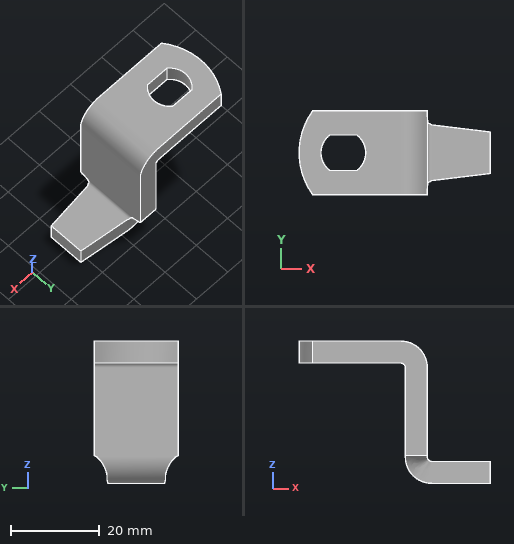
import cadquery as cq
import math

length = 43.2
width = 19.0
height = 32.15
thickness = 5.0
inner_radius = 1.0
outer_radius = inner_radius + thickness
half_width = width / 2

nose_depth = 3.1
hole_x = 10.02
hole_diameter = 10.02
hole_flats = 7.95

web_outer_x = 29.0
web_inner_x = web_outer_x - thickness
foot_start_x = web_outer_x + inner_radius
foot_start_half_width = 6.3
foot_end_half_width = 4.7

blend_radius = 5.0
blend_end_angle = math.radians(60)
developed_radius = 4.65
blend_end = developed_radius * blend_end_angle
bend_end = developed_radius * math.pi / 2
taper_slope = (foot_start_half_width - foot_end_half_width) / (length - foot_start_x)
taper_angle = math.atan(taper_slope)
blend_end_half_width = foot_start_half_width + taper_slope * (bend_end - blend_end)
blend_center_along = blend_end - blend_radius * math.sin(taper_angle)
blend_center_y = blend_end_half_width + blend_radius * math.cos(taper_angle)

clearance = 0.45
cutter_y = half_width + clearance
curve_steps = 12


def bent_strip():
    """Full-width Z-shaped strip with two concentric-radius bends."""
    diagonal = math.sqrt(0.5)
    upper_center_x = web_outer_x - outer_radius
    upper_center_z = height - outer_radius
    foot_center_z = outer_radius
    return (
        cq.Workplane("XZ")
        .moveTo(0, height)
        .lineTo(upper_center_x, height)
        .threePointArc(
            (upper_center_x + outer_radius * diagonal, upper_center_z + outer_radius * diagonal),
            (web_outer_x, upper_center_z),
        )
        .lineTo(web_outer_x, foot_center_z)
        .threePointArc(
            (foot_start_x - inner_radius * diagonal, foot_center_z - inner_radius * diagonal),
            (foot_start_x, thickness),
        )
        .lineTo(length, thickness)
        .lineTo(length, 0)
        .lineTo(foot_start_x, 0)
        .threePointArc(
            (foot_start_x - outer_radius * diagonal, foot_center_z - outer_radius * diagonal),
            (web_inner_x, foot_center_z),
        )
        .lineTo(web_inner_x, upper_center_z)
        .threePointArc(
            (upper_center_x + inner_radius * diagonal, upper_center_z + inner_radius * diagonal),
            (upper_center_x, height - thickness),
        )
        .lineTo(0, height - thickness)
        .close()
        .extrude(half_width, both=True)
    )


def outline_and_foot_limit():
    """Plan shape with the rounded nose, full width up to the foot and tapered beyond it."""
    return (
        cq.Workplane("XY")
        .moveTo(nose_depth, half_width)
        .threePointArc((0, 0), (nose_depth, -half_width))
        .lineTo(foot_start_x, -half_width)
        .lineTo(foot_start_x, -foot_start_half_width)
        .lineTo(length, -foot_end_half_width)
        .lineTo(length, foot_end_half_width)
        .lineTo(foot_start_x, foot_start_half_width)
        .lineTo(foot_start_x, half_width)
        .close()
        .extrude(height)
    )


def double_d_hole():
    """Round hole with two flats parallel to X, through the upper plate."""
    plate = cq.Workplane("XY", origin=(hole_x, 0, height - thickness))
    round_hole = plate.circle(hole_diameter / 2).extrude(thickness)
    return round_hole.intersect(plate.rect(hole_diameter, hole_flats).extrude(thickness))


def half_width_at(angle):
    """Half width of the lower bend, measured from 0 at the web to a right angle at the foot."""
    along = developed_radius * angle
    if angle < blend_end_angle:
        offset = along - blend_center_along
        return blend_center_y - math.sqrt(blend_radius**2 - offset**2)
    return foot_start_half_width + taper_slope * (bend_end - along)


def bend_curve(radius, start, end, y_at):
    """Curve around the lower bend at one radius, with its Y given by the bend angle."""
    angles = [start + (end - start) * i / curve_steps for i in range(curve_steps + 1)]
    points = [
        cq.Vector(
            foot_start_x - radius * math.cos(angle),
            y_at(angle),
            outer_radius - radius * math.sin(angle),
        )
        for angle in angles
    ]
    return cq.Edge.makeSpline(points, parameters=angles)


def bend_side_cutter(start, end):
    """Solid outside the +Y edge of the lower bend; its edge face is ruled radially."""
    inner = inner_radius / 2
    outer = outer_radius + clearance
    edges = [
        bend_curve(inner, start, end, half_width_at),
        bend_curve(outer, start, end, half_width_at),
        bend_curve(outer, start, end, lambda angle: cutter_y),
        bend_curve(inner, start, end, lambda angle: cutter_y),
    ]
    faces = [cq.Face.makeRuledSurface(edges[i - 1], edges[i]) for i in range(4)]
    for corners in ([e.startPoint() for e in edges], [e.endPoint() for e in edges]):
        faces.append(cq.Face.makeFromWires(cq.Wire.makePolygon(corners, close=True)))
    return cq.Workplane(cq.Solid.makeSolid(cq.Shell.makeShell(faces)))


def web_side_cutter():
    """Start of the blend, on the flat web just above the lower bend."""
    def blend_start(y):
        return blend_center_along - math.sqrt(blend_radius**2 - (blend_center_y - y) ** 2)

    bend_half_width = half_width_at(0)
    middle_y = (bend_half_width + half_width) / 2
    return (
        cq.Workplane("YZ", origin=(web_inner_x, 0, 0))
        .moveTo(bend_half_width, outer_radius)
        .threePointArc(
            (middle_y, outer_radius - blend_start(middle_y)),
            (half_width, outer_radius - blend_start(half_width)),
        )
        .lineTo(half_width, outer_radius)
        .close()
        .extrude(thickness)
    )


result = bent_strip().intersect(outline_and_foot_limit()).cut(double_d_hole())
side_cutters = [
    web_side_cutter(),
    bend_side_cutter(0, blend_end_angle),
    bend_side_cutter(blend_end_angle, math.pi / 2),
]
for cutter in side_cutters:
    result = result.cut(cutter).cut(cutter.mirror("XZ"))